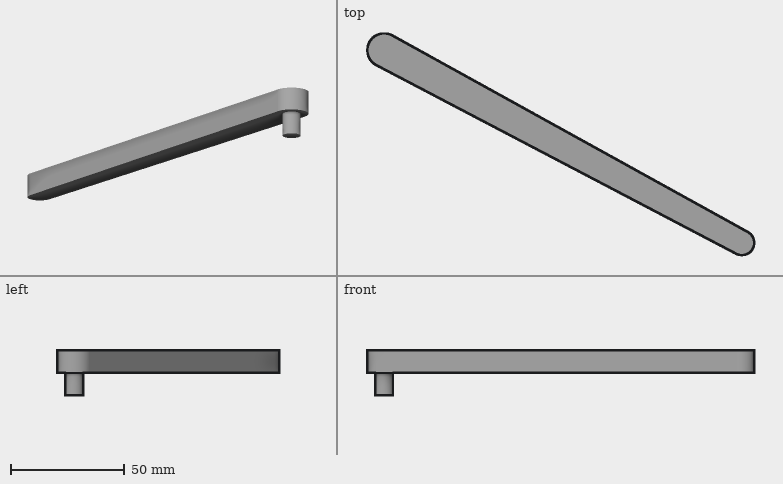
import cadquery as cq
import math

extent_x = 171.13
extent_y = 98.14
wide_end_radius = 7.5
narrow_end_radius = 5.5
arm_thickness = 10.0
peg_diameter = 8.0
peg_length = 10.0

narrow_end_x = extent_x - wide_end_radius - narrow_end_radius
narrow_end_y = -(extent_y - wide_end_radius - narrow_end_radius)
center_distance = math.hypot(narrow_end_x, narrow_end_y)
arm_direction = math.atan2(narrow_end_y, narrow_end_x)

tangent_angle = math.acos((wide_end_radius - narrow_end_radius) / center_distance)


def point_on_wide_end(angle):
    return (wide_end_radius * math.cos(angle), wide_end_radius * math.sin(angle))


def point_on_narrow_end(angle):
    return (
        narrow_end_x + narrow_end_radius * math.cos(angle),
        narrow_end_y + narrow_end_radius * math.sin(angle),
    )


def make_arm():
    """Tapered bar: two round ends joined by their outer tangent lines."""
    upper_side = arm_direction + tangent_angle
    lower_side = arm_direction - tangent_angle
    return (
        cq.Workplane("XY")
        .moveTo(*point_on_wide_end(upper_side))
        .lineTo(*point_on_narrow_end(upper_side))
        .threePointArc(point_on_narrow_end(arm_direction), point_on_narrow_end(lower_side))
        .lineTo(*point_on_wide_end(lower_side))
        .threePointArc(point_on_wide_end(arm_direction + math.pi), point_on_wide_end(upper_side))
        .close()
        .extrude(arm_thickness)
    )


def make_peg():
    """Round peg below the wide end, on the same centre."""
    return cq.Workplane("XY").circle(peg_diameter / 2).extrude(-peg_length)


result = make_arm().union(make_peg())